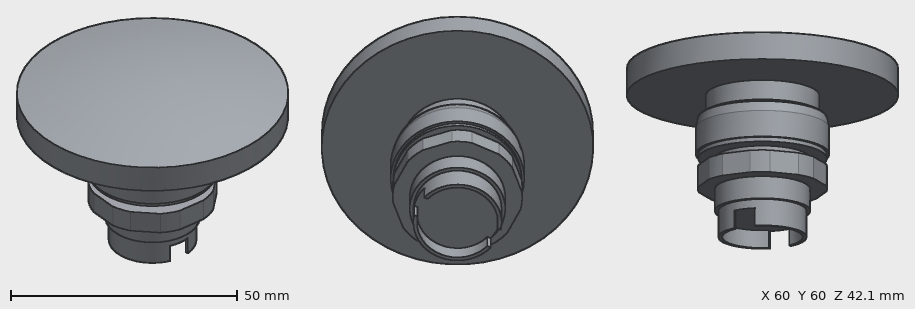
import cadquery as cq
import math

slot_top_z = 4.0
barrel_bottom_z = 6.0
nut_bottom_z = 11.0
nut_thickness = 5.0
gasket_bottom_z = 18.0
gasket_thickness = 1.0
bezel_bottom_z = gasket_bottom_z + gasket_thickness
bezel_cone_z = 25.0
bezel_top_z = 27.5
lip_top_z = 28.0
head_bottom_z = 32.5
head_rim_z = 38.65
head_crown_z = 42.1

head_diameter = 60.0
stem_diameter = 25.1
lip_top_diameter = 25.9
lip_base_diameter = 26.3
bezel_diameter = 29.5
bezel_shoulder_diameter = 28.6
bezel_top_diameter = 28.1
gasket_diameter = 28.4
barrel_diameter = 21.1
skirt_diameter = 19.5

bezel_edge_height = 0.3
skirt_wall = 0.8
slot_width = 5.0
nut_sides = 8
nut_across_flats = 27.8
nut_corner_diameter = 28.6


def make_button():
    """Domed mushroom head with its stem, standing on the housing lip."""
    head_radius = head_diameter / 2
    dome_rise = head_crown_z - head_rim_z
    dome_radius = (head_radius**2 + dome_rise**2) / (2 * dome_rise)
    dome_centre_z = head_crown_z - dome_radius
    mid_radius = head_radius / 2
    mid_z = dome_centre_z + math.sqrt(dome_radius**2 - mid_radius**2)
    return (
        cq.Workplane("XZ")
        .moveTo(0, lip_top_z)
        .lineTo(stem_diameter / 2, lip_top_z)
        .lineTo(stem_diameter / 2, head_bottom_z)
        .lineTo(head_radius, head_bottom_z)
        .lineTo(head_radius, head_rim_z)
        .threePointArc((mid_radius, mid_z), (0, head_crown_z))
        .close()
        .revolve(360, (0, 0, 0), (0, 1, 0))
    )


def make_housing():
    """Bezel, barrel and hollow slotted skirt turned in one piece."""
    turned = (
        cq.Workplane("XZ")
        .lineTo(skirt_diameter / 2, 0)
        .lineTo(skirt_diameter / 2, barrel_bottom_z)
        .lineTo(barrel_diameter / 2, barrel_bottom_z)
        .lineTo(barrel_diameter / 2, bezel_bottom_z)
        .lineTo(bezel_diameter / 2, bezel_bottom_z)
        .lineTo(bezel_diameter / 2, bezel_cone_z)
        .lineTo(bezel_shoulder_diameter / 2, bezel_top_z - bezel_edge_height)
        .lineTo(bezel_top_diameter / 2, bezel_top_z)
        .lineTo(lip_base_diameter / 2, bezel_top_z)
        .lineTo(lip_top_diameter / 2, lip_top_z)
        .lineTo(0, lip_top_z)
        .close()
        .revolve(360, (0, 0, 0), (0, 1, 0))
    )
    bore = cq.Workplane("XY").circle(skirt_diameter / 2 - skirt_wall).extrude(slot_top_z)
    slot = cq.Workplane("XY").rect(barrel_diameter, slot_width).extrude(slot_top_z)
    return turned.cut(bore).cut(slot)


def make_gasket():
    """Flat sealing ring around the barrel, under the bezel."""
    return (
        cq.Workplane("XY", origin=(0, 0, gasket_bottom_z))
        .circle(gasket_diameter / 2)
        .circle(barrel_diameter / 2)
        .extrude(gasket_thickness)
    )


def make_nut():
    """Octagonal nut on the barrel, with its corners turned to a cylinder."""
    octagon_circumdiameter = nut_across_flats / math.cos(math.pi / nut_sides)
    base = cq.Workplane("XY", origin=(0, 0, nut_bottom_z))
    octagon = (
        base.polygon(nut_sides, octagon_circumdiameter)
        .extrude(nut_thickness)
        .rotate((0, 0, 0), (0, 0, 1), 180 / nut_sides)
    )
    ring = base.circle(nut_corner_diameter / 2).circle(barrel_diameter / 2).extrude(nut_thickness)
    return octagon.intersect(ring)


button = make_button()
housing = make_housing()
gasket = make_gasket()
nut = make_nut()

result = cq.Compound.makeCompound([button.val(), housing.val(), gasket.val(), nut.val()])